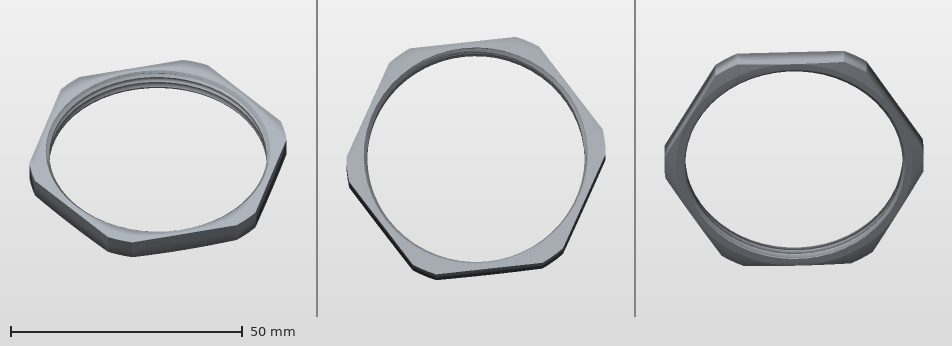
import cadquery as cq

corner_diameter = 55.95
across_flats = 51.0
thickness = 5.0

relief_height = 0.4

bore_radius = 23.45
mouth_radius = 24.25
mouth_chamfer = mouth_radius - bore_radius
lower_chamfer = 0.35
thread_pitch = 1.5
thread_turns = 6
thread_start_angle = 45
thread_start_height = 1.0 - 2 * thread_pitch
groove_root_width = 0.15
groove_mouth_width = 1.1
groove_root_radius = 24.2
cutter_overlap = 0.2

corner_radius = corner_diameter / 2
flat_radius = across_flats / 2


def hexagon_body():
    """Hexagonal prism with two of its flats facing along X."""
    return (
        cq.Workplane("XY")
        .polygon(6, across_flats, circumscribed=True)
        .extrude(thickness)
    )


def corner_envelope():
    """Turned disc that rounds the corners and relieves their undersides."""
    profile = [
        (0, 0),
        (flat_radius, 0),
        (corner_radius, relief_height),
        (corner_radius, thickness),
        (0, thickness),
    ]
    return cq.Workplane("XZ").polyline(profile).close().revolve(360, (0, 0), (0, 1))


def bore():
    """Through bore with a wide chamfer at the top face and a slight one below."""
    profile = [
        (0, 0),
        (bore_radius + lower_chamfer, 0),
        (bore_radius, lower_chamfer),
        (bore_radius, thickness - mouth_chamfer),
        (mouth_radius, thickness),
        (0, thickness),
    ]
    return cq.Workplane("XZ").polyline(profile).close().revolve(360, (0, 0), (0, 1))


def thread_cutter():
    """Right-handed helical V ridge that overlaps the bore and runs out past both faces."""
    half_mouth = groove_mouth_width / 2
    half_root = groove_root_width / 2
    flank_slope = (half_mouth - half_root) / (groove_root_radius - bore_radius)
    inner_radius = bore_radius - cutter_overlap
    half_inner = half_mouth + flank_slope * cutter_overlap
    profile = [
        (inner_radius, -half_inner),
        (groove_root_radius, -half_root),
        (groove_root_radius, half_root),
        (inner_radius, half_inner),
    ]
    path = cq.Wire.makeHelix(thread_pitch, thread_turns * thread_pitch, bore_radius)
    return (
        cq.Workplane("XZ")
        .polyline(profile)
        .close()
        .sweep(cq.Workplane(obj=path), isFrenet=True)
        .rotate((0, 0, 0), (0, 0, 1), thread_start_angle)
        .translate((0, 0, thread_start_height))
    )


blank = hexagon_body().intersect(corner_envelope())
result = blank.cut(bore()).cut(thread_cutter())